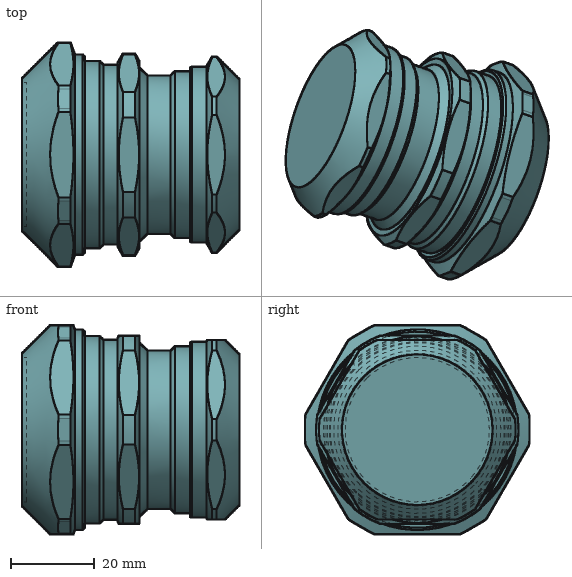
import cadquery as cq
import math


TOTAL_LENGTH = 52.09
FRONT_FACE_DIA = 36.5
REAR_FACE_DIA = 36.0
RECESS_DIA = 34.5
RECESS_DEPTH = 1.1

FRONT_HEX_FLATS = 50.0
FRONT_HEX_CORNER_DIA = 54.0
FRONT_HEX_CORNER_FLATS = 53.73
FRONT_HEX_BACK_X = 12.7

MIDDLE_HEX_FLATS = 45.0
MIDDLE_HEX_CORNER_DIA = 48.4
MIDDLE_HEX_START_X = 22.85
MIDDLE_HEX_END_X = 28.15
MIDDLE_HEX_START_DIA = 43.8
MIDDLE_HEX_END_DIA = 44.6

REAR_HEX_FLATS = 43.0
REAR_HEX_CORNER_DIA = 47.0
REAR_HEX_START_X = 44.1

HALF_SIDE_TURN = 30.0
NOSE_ANGLE = 45.0
FRONT_HEX_BACK_ANGLE = 20.0
HEX_CHAMFER_ANGLE = 30.0

FLANGE_DIA = 48.0
FLANGE_END_X = 15.05
FLANGE_CHAMFER = 0.55

SHOULDER_DIA = 44.9
SHOULDER_CHAMFER_END_X = 19.5
SEAT_DIA = 43.1

CONE_START_DIA = 41.6
NECK_START_X = 30.05
NECK_DIA = 38.0
NECK_END_X = 35.6

SLEEVE_DIA = 40.0
RING_START_X = 40.25
RING_DIA = 42.1
RING_CHAMFER_LENGTH = 0.5
RING_CHAMFER_HEIGHT = 0.2


def axial_length(start_dia, end_dia, angle):
    """Length along X of a cone between two diameters, its angle measured from the end face."""
    return abs(end_dia - start_dia) / 2 * math.tan(math.radians(angle))


def turned(stations):
    """Solid of revolution about X through a list of (x, diameter) stations."""
    first_x = stations[0][0]
    last_x = stations[-1][0]
    outline = [(first_x, 0)]
    outline += [(x, dia / 2) for x, dia in stations]
    outline += [(last_x, 0)]
    return cq.Workplane("XY").polyline(outline).close().revolve(360, (0, 0, 0), (1, 0, 0))


def hex_prism(across_flats, start_x, end_x):
    """Hexagonal prism along X with two of its flats facing up and down."""
    across_corners = across_flats / math.cos(math.radians(HALF_SIDE_TURN))
    section = cq.Workplane("YZ", origin=(start_x, 0, 0)).polygon(6, across_corners)
    return section.extrude(end_x - start_x)


def hex_collar(across_flats, stations):
    """Hexagon whose corners are trimmed by the turned stations."""
    start_x = stations[0][0]
    end_x = stations[-1][0]
    return hex_prism(across_flats, start_x, end_x).intersect(turned(stations))


def front_collar():
    """Conical nose running into the largest hexagon, with a narrow flat on each corner."""
    corner_start = axial_length(FRONT_FACE_DIA, FRONT_HEX_CORNER_DIA, NOSE_ANGLE)
    back_chamfer = axial_length(FLANGE_DIA, FRONT_HEX_CORNER_DIA, FRONT_HEX_BACK_ANGLE)
    collar = hex_collar(FRONT_HEX_FLATS, [
        (0, FRONT_FACE_DIA),
        (corner_start, FRONT_HEX_CORNER_DIA),
        (FRONT_HEX_BACK_X - back_chamfer, FRONT_HEX_CORNER_DIA),
        (FRONT_HEX_BACK_X, FLANGE_DIA),
    ])
    corner_trim = hex_prism(FRONT_HEX_CORNER_FLATS, 0, FRONT_HEX_BACK_X)
    return collar.intersect(corner_trim.rotate((0, 0, 0), (1, 0, 0), HALF_SIDE_TURN))


def middle_collar():
    """Hexagon chamfered on both sides."""
    start_chamfer = axial_length(MIDDLE_HEX_START_DIA, MIDDLE_HEX_CORNER_DIA, HEX_CHAMFER_ANGLE)
    end_chamfer = axial_length(MIDDLE_HEX_END_DIA, MIDDLE_HEX_CORNER_DIA, HEX_CHAMFER_ANGLE)
    return hex_collar(MIDDLE_HEX_FLATS, [
        (MIDDLE_HEX_START_X, MIDDLE_HEX_START_DIA),
        (MIDDLE_HEX_START_X + start_chamfer, MIDDLE_HEX_CORNER_DIA),
        (MIDDLE_HEX_END_X - end_chamfer, MIDDLE_HEX_CORNER_DIA),
        (MIDDLE_HEX_END_X, MIDDLE_HEX_END_DIA),
    ])


def rear_collar():
    """Hexagon running into the conical rear end."""
    start_chamfer = axial_length(RING_DIA, REAR_HEX_CORNER_DIA, HEX_CHAMFER_ANGLE)
    rear_cone = axial_length(REAR_FACE_DIA, REAR_HEX_CORNER_DIA, NOSE_ANGLE)
    return hex_collar(REAR_HEX_FLATS, [
        (REAR_HEX_START_X, RING_DIA),
        (REAR_HEX_START_X + start_chamfer, REAR_HEX_CORNER_DIA),
        (TOTAL_LENGTH - rear_cone, REAR_HEX_CORNER_DIA),
        (TOTAL_LENGTH, REAR_FACE_DIA),
    ])


def front_body():
    """Flange, shoulder and seat between the front and middle collars."""
    shoulder_chamfer = (SHOULDER_DIA - SEAT_DIA) / 2
    return turned([
        (FRONT_HEX_BACK_X, FLANGE_DIA),
        (FLANGE_END_X - FLANGE_CHAMFER, FLANGE_DIA),
        (FLANGE_END_X, FLANGE_DIA - 2 * FLANGE_CHAMFER),
        (FLANGE_END_X, SHOULDER_DIA),
        (SHOULDER_CHAMFER_END_X - shoulder_chamfer, SHOULDER_DIA),
        (SHOULDER_CHAMFER_END_X, SEAT_DIA),
        (MIDDLE_HEX_START_X, SEAT_DIA),
    ])


def rear_body():
    """Cone, neck, sleeve and ring between the middle and rear collars."""
    sleeve_chamfer = (SLEEVE_DIA - NECK_DIA) / 2
    return turned([
        (MIDDLE_HEX_END_X, CONE_START_DIA),
        (NECK_START_X, NECK_DIA),
        (NECK_END_X, NECK_DIA),
        (NECK_END_X + sleeve_chamfer, SLEEVE_DIA),
        (RING_START_X, SLEEVE_DIA),
        (RING_START_X, RING_DIA - 2 * RING_CHAMFER_HEIGHT),
        (RING_START_X + RING_CHAMFER_LENGTH, RING_DIA),
        (REAR_HEX_START_X, RING_DIA),
    ])


def front_recess():
    """Shallow round recess in the front face."""
    return cq.Workplane("YZ").circle(RECESS_DIA / 2).extrude(RECESS_DEPTH)


result = (
    front_collar()
    .union(front_body())
    .union(middle_collar())
    .union(rear_body())
    .union(rear_collar())
    .cut(front_recess())
)